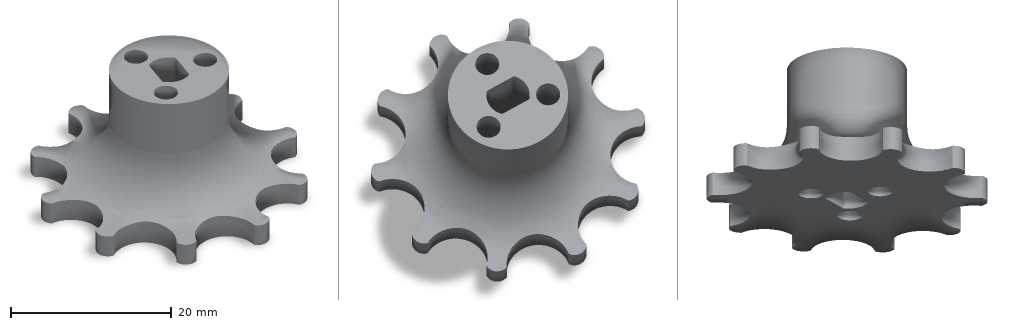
import cadquery as cq
import math

tooth_count = 10
plate_thickness = 3.0
tip_circle_radius = 16.0
tip_radius = 1.5
gullet_radius = 4.0

total_height = 17.5
hub_radius = 7.5
flare_radius = 7.0

bolt_count = 3
bolt_diameter = 3.0
bolt_circle_radius = 5.0
shaft_diameter = 5.4
shaft_across_flats = 3.7

tooth_angle = 360.0 / tooth_count
gullet_circle_radius = tip_circle_radius / math.cos(math.radians(tooth_angle / 2))


def hub_with_flare():
    """Round hub whose foot spreads tangentially into the plate."""
    flare_top = plate_thickness + flare_radius
    flare_outer_radius = hub_radius + flare_radius
    arc_offset = flare_radius * math.sqrt(0.5)
    arc_middle = (flare_outer_radius - arc_offset, flare_top - arc_offset)
    return (
        cq.Workplane("XZ")
        .lineTo(flare_outer_radius, 0)
        .lineTo(flare_outer_radius, plate_thickness)
        .threePointArc(arc_middle, (hub_radius, flare_top))
        .lineTo(hub_radius, total_height)
        .lineTo(0, total_height)
        .close()
        .revolve(360, (0, 0), (0, 1))
    )


def toothed_blank():
    """Flat disc with a round tip for every tooth, the first one on +Y."""
    disc = cq.Workplane("XY").circle(tip_circle_radius).extrude(plate_thickness)
    tips = (
        cq.Workplane("XY")
        .polarArray(tip_circle_radius, 90, 360, tooth_count)
        .circle(tip_radius)
        .extrude(plate_thickness)
    )
    return disc.union(tips)


def gullets():
    """Round cutters between the teeth, tall enough to trim the flare too."""
    return (
        cq.Workplane("XY")
        .polarArray(gullet_circle_radius, 90 + tooth_angle / 2, 360, tooth_count)
        .circle(gullet_radius)
        .extrude(total_height)
    )


def bolt_holes():
    """Through holes around the axis, the first one on +Y."""
    return (
        cq.Workplane("XY")
        .polarArray(bolt_circle_radius, 90, 360, bolt_count)
        .circle(bolt_diameter / 2)
        .extrude(total_height)
    )


def shaft_hole():
    """Round through bore narrowed by two flats facing +Y and -Y."""
    bore = cq.Workplane("XY").circle(shaft_diameter / 2).extrude(total_height)
    flats = (
        cq.Workplane("XY")
        .rect(shaft_diameter, shaft_across_flats)
        .extrude(total_height)
    )
    return bore.intersect(flats)


result = (
    toothed_blank()
    .union(hub_with_flare())
    .cut(gullets())
    .cut(bolt_holes())
    .cut(shaft_hole())
)